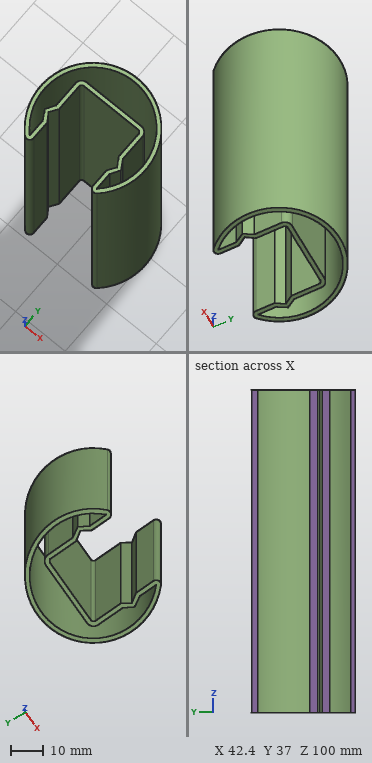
import cadquery as cq
import math

length = 100.0
tube_radius = 21.2
wall = 1.5
slot_half_width = 12.0
web_top = 10.1
inner_bend_radius = 1.0
outer_bend_radius = inner_bend_radius + wall
groove_y = -4.9
groove_depth = 1.9
groove_half_height_inner = 2.9
groove_half_height_outer = 3.2

bore_radius = tube_radius - wall
channel_half_width = slot_half_width + wall
lip_y = -math.sqrt(bore_radius**2 - channel_half_width**2)
tangent_scale = tube_radius / bore_radius
lip_end_x = channel_half_width * tangent_scale
lip_end_y = lip_y * tangent_scale


def mirrored(points):
    """Complete a right-hand outline with its left-hand mirror image."""
    return points + [(-x, y) for x, y in reversed(points)]


def channel_outline(half_width, top, groove_half_height, bottom):
    """Closed outline of a channel face with a V groove in each side."""
    return mirrored([
        (half_width, bottom),
        (half_width, groove_y - groove_half_height),
        (half_width + groove_depth, groove_y),
        (half_width, groove_y + groove_half_height),
        (half_width, top),
    ])


def channel_solid(half_width, top, groove_half_height, bottom, corner_radius):
    """Channel-shaped prism with its two top corners rounded."""
    outline = channel_outline(half_width, top, groove_half_height, bottom)
    prism = cq.Workplane("XY").polyline(outline).close().extrude(length)
    return prism.faces(">Y").edges("|Z").fillet(corner_radius)


def outer_body():
    """Solid tube section closed off between the two rounded lips."""
    lip_angle = math.atan2(lip_end_y, lip_end_x) + 2 * math.pi
    mid_angle = (math.pi + lip_angle) / 2
    lip_mid = (
        channel_half_width + wall * math.cos(mid_angle),
        lip_y + wall * math.sin(mid_angle),
    )
    return (
        cq.Workplane("XY")
        .moveTo(slot_half_width, lip_y)
        .threePointArc(lip_mid, (lip_end_x, lip_end_y))
        .threePointArc((0, tube_radius), (-lip_end_x, lip_end_y))
        .threePointArc((-lip_mid[0], lip_mid[1]), (-slot_half_width, lip_y))
        .close()
        .extrude(length)
    )


def cavity():
    """Hollow between the tube bore and the outside of the channel."""
    bore = (
        cq.Workplane("XY")
        .moveTo(channel_half_width, lip_y)
        .threePointArc((0, bore_radius), (-channel_half_width, lip_y))
        .close()
        .extrude(length)
    )
    channel = channel_solid(
        channel_half_width, web_top, groove_half_height_outer, lip_y, outer_bend_radius
    )
    return bore.cut(channel)


slot = channel_solid(
    slot_half_width,
    web_top - wall,
    groove_half_height_inner,
    lip_y,
    inner_bend_radius,
)

result = outer_body().cut(cavity()).cut(slot)